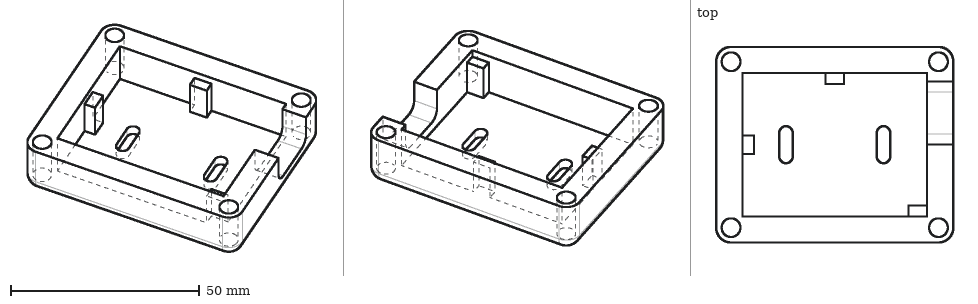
import cadquery as cq

length = 63.0
width = 52.0
height = 15.4
wall = 7.0
floor = 2.95
edge_radius = 4.0
pocket_length = length - 2 * wall
pocket_width = width - 2 * wall
pocket_depth = height - floor

hole_diameter = 5.0
hole_depth = pocket_depth

slot_width = 3.5
slot_length = 9.75
slot_spacing = 25.9

post_width = 5.0
post_depth = 2.85
side_post_depth = 3.1
post_height = 10.2

notch_start = 0.05
notch_width = 16.75
notch_depth = 9.3
notch_radius = 2.85


def make_body():
    body = cq.Workplane("XY").box(length, width, height, centered=(True, True, False))
    return body.edges("|Z").fillet(edge_radius).faces("<Z").edges().fillet(edge_radius)


def make_pocket():
    return cq.Workplane("XY", origin=(0, 0, floor)).rect(pocket_length, pocket_width).extrude(pocket_depth)


def make_corner_holes():
    spacing_x = length - 2 * edge_radius
    spacing_y = width - 2 * edge_radius
    top = cq.Workplane("XY", origin=(0, 0, height))
    centres = top.rect(spacing_x, spacing_y, forConstruction=True).vertices()
    return centres.circle(hole_diameter / 2).extrude(-hole_depth)


def make_slots():
    centres = [(-slot_spacing / 2, 0), (slot_spacing / 2, 0)]
    return cq.Workplane("XY").pushPoints(centres).slot2D(slot_length, slot_width, 90).extrude(floor)


def make_notch():
    centre = (length / 2 - wall / 2, notch_start + notch_width / 2, height - notch_depth / 2)
    notch = cq.Workplane("XY").box(wall, notch_width, notch_depth).translate(centre)
    return notch.faces("<Z").edges("|X").fillet(notch_radius)


def make_post(size_x, size_y, x, y):
    post = cq.Workplane("XY").box(size_x, size_y, post_height, centered=(True, True, False))
    return post.translate((x, y, floor))


result = make_body().cut(make_pocket()).cut(make_corner_holes()).cut(make_slots()).cut(make_notch())

post_y = (pocket_width - post_depth) / 2
side_post_x = (pocket_length - side_post_depth) / 2
corner_post_x = (pocket_length - post_width) / 2
result = result.union(make_post(post_width, post_depth, 0, post_y))
result = result.union(make_post(side_post_depth, post_width, -side_post_x, 0))
result = result.union(make_post(post_width, post_depth, corner_post_x, -post_y))